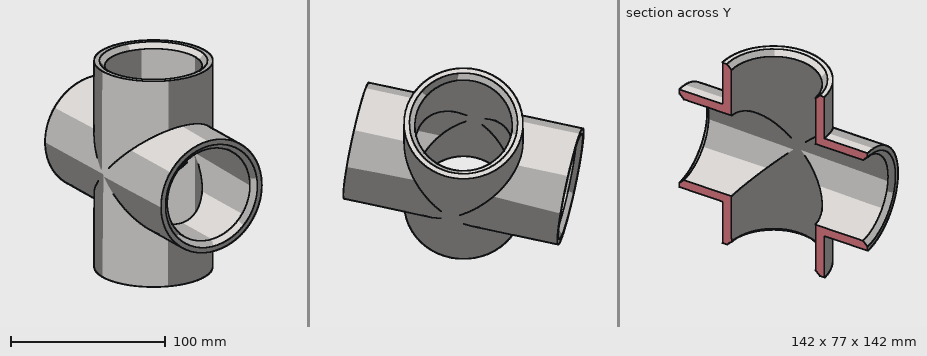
import cadquery as cq

overall_length = 142.0
outer_diameter = 77.0
bore_diameter = 63.0
mouth_diameter = 70.0
chamfer_size = (mouth_diameter - bore_diameter) / 2

half_length = overall_length / 2


def centred_cylinder(plane, diameter):
    """Full-length cylinder centred on the origin, along the normal of the plane."""
    return cq.Workplane(plane).circle(diameter / 2).extrude(half_length, both=True)


def lead_in(axis, end):
    """Conical cutter that chamfers the bore at one end (+1 or -1) of an axis."""
    mouth_centre = axis * (end * half_length)
    inward = axis * -end
    cone = cq.Solid.makeCone(
        mouth_diameter / 2,
        bore_diameter / 2,
        chamfer_size,
        pnt=mouth_centre,
        dir=inward,
    )
    return cq.Workplane(obj=cone)


outer_body = centred_cylinder("YZ", outer_diameter).union(centred_cylinder("XY", outer_diameter))
bores = centred_cylinder("YZ", bore_diameter).union(centred_cylinder("XY", bore_diameter))

result = outer_body.cut(bores)
for axis in (cq.Vector(1, 0, 0), cq.Vector(0, 0, 1)):
    for end in (1, -1):
        result = result.cut(lead_in(axis, end))